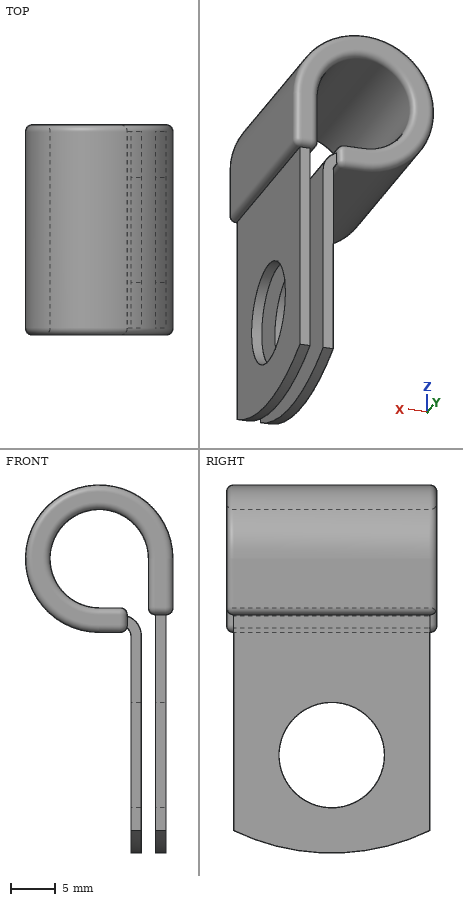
import cadquery as cq
import math


INCH = 25.4

bore_radius = 7 / 32 * INCH
cushion_wall = 1 / 32 * INCH
strap_thickness = 1.21
strap_width = 7 / 8 * INCH
fixed_leg_cushion_length = 1 / 4 * INCH
lower_straight_length = 3 / 32 * INCH
bend_inner_radius = 3 / 64 * INCH
hole_diameter = 15 / 32 * INCH
hole_drop = 7 / 8 * INCH
hole_to_tip = 11.1
tip_radius = 1 * INCH

strap_inner_radius = bore_radius + cushion_wall
strap_outer_radius = strap_inner_radius + strap_thickness
cushion_outer_radius = strap_outer_radius + cushion_wall
cushion_width = strap_width + 2 * cushion_wall
cushion_lower_end = lower_straight_length + cushion_wall
bend_outer_radius = bend_inner_radius + strap_thickness
bend_center_z = -(strap_inner_radius + bend_outer_radius)
tip_z = -(hole_drop + hole_to_tip)

loop_mid_angle = 135
bend_mid_angle = 45
edge_tolerance = 0.01


def circle_point(center_x, center_z, radius, angle_degrees):
    """Point on a circle in the XZ plane, with the angle measured from +X toward +Z."""
    angle = math.radians(angle_degrees)
    return (center_x + radius * math.cos(angle), center_z + radius * math.sin(angle))


def extrude_centered(sketch, length):
    """Extrude a closed outline symmetrically about its own plane."""
    return sketch.extrude(length / 2, both=True)


def make_cushion():
    """Three-quarter ring with two straight ends, rounded on every outer edge."""
    outline = (
        cq.Workplane("XZ")
        .moveTo(cushion_outer_radius, -fixed_leg_cushion_length)
        .lineTo(cushion_outer_radius, 0)
        .threePointArc(circle_point(0, 0, cushion_outer_radius, loop_mid_angle), (0, -cushion_outer_radius))
        .lineTo(cushion_lower_end, -cushion_outer_radius)
        .lineTo(cushion_lower_end, -bore_radius)
        .lineTo(0, -bore_radius)
        .threePointArc(circle_point(0, 0, bore_radius, loop_mid_angle), (bore_radius, 0))
        .lineTo(bore_radius, -fixed_leg_cushion_length)
        .close()
    )
    body = extrude_centered(outline, cushion_width)
    side_edges = body.faces("<Y or >Y").edges()
    straight_leg_end = cq.selectors.BoxSelector(
        (0, -cushion_width, -fixed_leg_cushion_length - edge_tolerance),
        (2 * cushion_outer_radius, cushion_width, -fixed_leg_cushion_length + edge_tolerance),
    )
    lower_end = cq.selectors.BoxSelector(
        (cushion_lower_end - edge_tolerance, -cushion_width, -2 * cushion_outer_radius),
        (cushion_lower_end + edge_tolerance, cushion_width, 0),
    )
    end_edges = body.edges("|Y").edges(straight_leg_end + lower_end)
    return side_edges.add(end_edges).fillet(cushion_wall)


def make_strap():
    """Strap bent around the loop, with one straight leg and one leg turned down by a bend."""
    bend_x = lower_straight_length
    outline = (
        cq.Workplane("XZ")
        .moveTo(strap_outer_radius, tip_z)
        .lineTo(strap_outer_radius, 0)
        .threePointArc(circle_point(0, 0, strap_outer_radius, loop_mid_angle), (0, -strap_outer_radius))
        .lineTo(bend_x, -strap_outer_radius)
        .threePointArc(
            circle_point(bend_x, bend_center_z, bend_inner_radius, bend_mid_angle),
            (bend_x + bend_inner_radius, bend_center_z),
        )
        .lineTo(bend_x + bend_inner_radius, tip_z)
        .lineTo(bend_x + bend_outer_radius, tip_z)
        .lineTo(bend_x + bend_outer_radius, bend_center_z)
        .threePointArc(
            circle_point(bend_x, bend_center_z, bend_outer_radius, bend_mid_angle),
            (bend_x, -strap_inner_radius),
        )
        .lineTo(0, -strap_inner_radius)
        .threePointArc(circle_point(0, 0, strap_inner_radius, loop_mid_angle), (strap_inner_radius, 0))
        .lineTo(strap_inner_radius, tip_z)
        .close()
    )
    return extrude_centered(outline, strap_width)


def make_leg_profile():
    """Prism along X that gives the legs their curved lower end and the bolt hole."""
    half_width = strap_width / 2
    corner_z = tip_z + tip_radius - math.sqrt(tip_radius**2 - half_width**2)
    outline = (
        cq.Workplane("YZ")
        .moveTo(-half_width, cushion_outer_radius)
        .lineTo(-half_width, corner_z)
        .threePointArc((0, tip_z), (half_width, corner_z))
        .lineTo(half_width, cushion_outer_radius)
        .close()
    )
    hole = cq.Workplane("YZ").center(0, -hole_drop).circle(hole_diameter / 2)
    span = 2 * cushion_outer_radius
    return extrude_centered(outline, span).cut(extrude_centered(hole, span))


strap = make_strap().intersect(make_leg_profile())
result = make_cushion().union(strap)